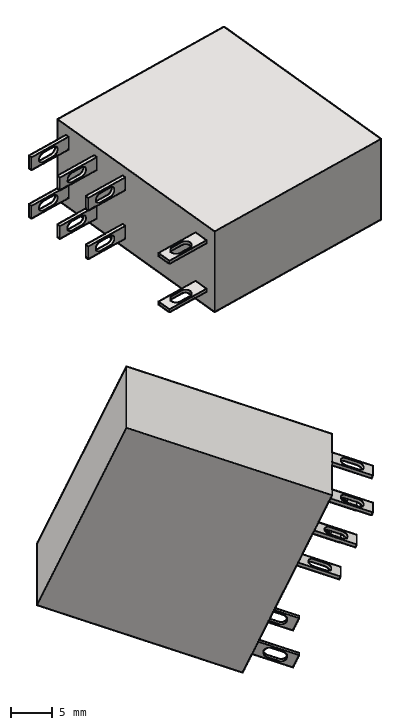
import cadquery as cq

body_width = 28.8
body_height = 12.6
total_depth = 32.9
terminal_length = 6.0
body_depth = total_depth - terminal_length

terminal_width = 2.0
terminal_thickness = 0.5
eyelet_length = 3.0
eyelet_width = 1.45
eyelet_center_y = -3.25

row_spacing = 7.57
contact_pitch = 5.2
first_contact_x = -12.6
contact_columns = [first_contact_x + i * contact_pitch for i in range(3)]
coil_column = 11.9


def make_terminal(x, z, turn):
    """Terminal running toward -Y, turned about its own length by an angle in degrees."""
    blade = cq.Workplane("XY").box(
        terminal_width, terminal_length, terminal_thickness, centered=(True, False, True)
    )
    blade = blade.translate((0, -terminal_length, 0))
    eyelet = (
        cq.Workplane("XY")
        .center(0, eyelet_center_y)
        .slot2D(eyelet_length, eyelet_width, 90)
        .extrude(terminal_thickness, both=True)
    )
    terminal = blade.cut(eyelet)
    return terminal.rotate((0, 0, 0), (0, 1, 0), turn).translate((x, 0, z))


result = cq.Workplane("XY").box(
    body_width, body_depth, body_height, centered=(True, False, True)
)

for row_z in (-row_spacing / 2, row_spacing / 2):
    for column_x in contact_columns:
        result = result.union(make_terminal(column_x, row_z, 90))
    result = result.union(make_terminal(coil_column, row_z, 0))